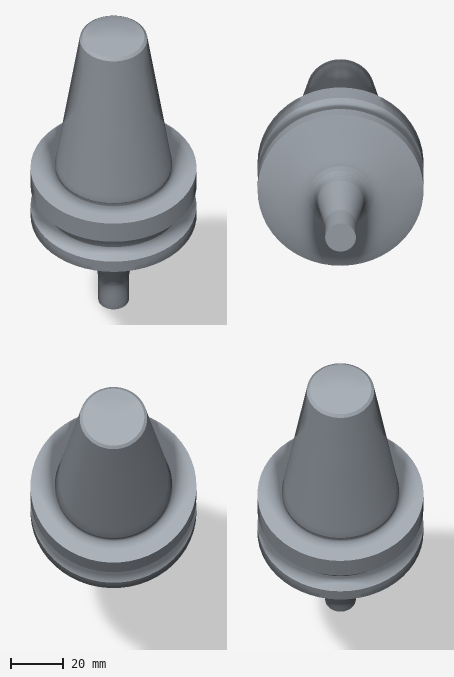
import cadquery as cq
import math

total_height = 135.4
gauge_height = 70.0
collar_bottom = 69.5
flange_top = 68.0
groove_top = 58.6
groove_bottom = 48.3
flange_bottom = 43.0
pin_length = 12.2

gauge_radius = 44.4 / 2
relief_radius = 44.0 / 2
flange_radius = 63.0 / 2
groove_floor_radius = 53.0 / 2
pin_radius = 11.6 / 2

taper_ratio = 7 / 24
top_chamfer = 1.0
groove_wall_slope = math.tan(math.radians(30))
underside_slope = math.tan(math.radians(15))
stem_slope = math.tan(math.radians(8))
stem_fillet = 5.0
relief_fillet = 0.7

select_margin = 0.1

taper_top_radius = gauge_radius - (total_height - gauge_height) * taper_ratio / 2

groove_wall_height = (flange_radius - groove_floor_radius) * groove_wall_slope

underside_apex = flange_bottom - flange_radius * underside_slope
stem_apex_radius = pin_radius + stem_slope * (underside_apex - pin_length)
corner_radius = stem_apex_radius / (1 - stem_slope * underside_slope)
corner_height = underside_apex + corner_radius * underside_slope


def revolve_holder():
    """Half profile from the tip upwards, turned about the Z axis."""
    profile = [
        (0, 0),
        (pin_radius, 0),
        (pin_radius, pin_length),
        (corner_radius, corner_height),
        (flange_radius, flange_bottom),
        (flange_radius, groove_bottom),
        (groove_floor_radius, groove_bottom + groove_wall_height),
        (groove_floor_radius, groove_top - groove_wall_height),
        (flange_radius, groove_top),
        (flange_radius, flange_top),
        (relief_radius, flange_top),
        (relief_radius, collar_bottom),
        (gauge_radius, gauge_height),
        (taper_top_radius, total_height),
        (0, total_height),
    ]
    return cq.Workplane("XZ").polyline(profile).close().revolve(360, (0, 0), (0, 1))


def round_stem_corner(body):
    """Blend the stem into the underside of the flange."""
    corner = cq.selectors.BoxSelector(
        (-flange_radius, -flange_radius, corner_height - select_margin),
        (flange_radius, flange_radius, corner_height + select_margin),
        boundingbox=True,
    )
    return body.edges("%CIRCLE").edges(corner).fillet(stem_fillet)


def round_relief_base(body):
    """Blend the relief under the taper into the top of the flange."""
    base = cq.selectors.BoxSelector(
        (-relief_radius - select_margin, -relief_radius - select_margin, flange_top - select_margin),
        (relief_radius + select_margin, relief_radius + select_margin, flange_top + select_margin),
        boundingbox=True,
    )
    return body.edges("%CIRCLE").edges(base).fillet(relief_fillet)


holder = round_stem_corner(revolve_holder())
holder = round_relief_base(holder)
result = holder.faces(">Z").edges().chamfer(top_chamfer)